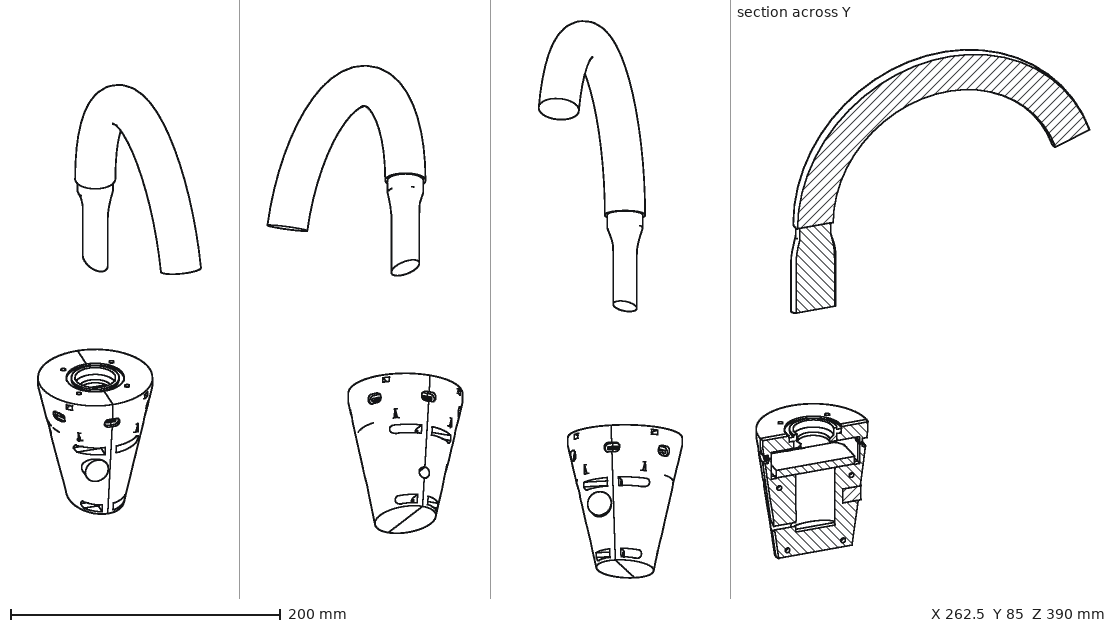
import cadquery as cq
import math

BASE_HEIGHT = 100.0
RIM_DIAMETER = 85.0
RIM_HEIGHT = 6.0
RIM_BOTTOM_Z = BASE_HEIGHT - RIM_HEIGHT
FOOT_LENGTH_X = 60.0
FOOT_LENGTH_Y = 41.5

CHAMBER_DIAMETER = 71.0
CHAMBER_FLOOR_Z = 66.7
CHAMBER_CEILING_Z = 88.5
BOARD_LENGTH_X = 63.0
BOARD_LENGTH_Y = 46.5
BOARD_THICKNESS = 6.5

VENT_COUNT = 6
VENT_WIDTH = 11.7
VENT_HEIGHT = 7.0
VENT_Z = 83.5
VENT_SLIT_WIDTH = 7.8
VENT_SLIT_HEIGHT = 2.5
VENT_STEP_RADIUS = 38.0
RIM_SCREW_COUNT = 4
RIM_SCREW_DIAMETER = 3.5
RIM_SCREW_RADIUS = 26.5
RIM_SLOT_WIDTH = 5.0
RIM_SLOT_HEIGHT = 3.5
RIM_SLOT_START = RIM_SCREW_RADIUS - RIM_SLOT_WIDTH / 2
CABLE_HOLE_DIAMETER = 8.0
CABLE_HOLE_Z = 25.8

CLAMP_ROWS = [(29.0, 58.0), (22.2, 5.5)]
CLAMP_HOLE_DIAMETER = 3.4
CLAMP_POCKET_HEIGHT = 6.2
CLAMP_NUT_SIDES = 6
CLAMP_NUT_CORNERS = CLAMP_POCKET_HEIGHT / math.cos(math.pi / CLAMP_NUT_SIDES)
CLAMP_WALL = 4.3

SPOUT_DIAMETER = 30.0
SPOUT_RADIUS = SPOUT_DIAMETER / 2
SPOUT_BEND_RADIUS = 105.7
SPOUT_SWEEP = 161.3
TOTAL_HEIGHT = 390.0
SPOUT_START_Z = TOTAL_HEIGHT - SPOUT_BEND_RADIUS - SPOUT_RADIUS
NECK_DIAMETER = 26.5
NECK_LENGTH = 9.8
TRANSITION_LENGTH = 20.0
OVAL_LENGTH_X = 35.5
OVAL_LENGTH_Y = 16.0
OVAL_HEIGHT = 39.8
TRANSITION_STEPS = 6

COLLAR_DIAMETER = 35.5
COLLAR_BORE_DIAMETER = 30.0
COLLAR_BORE_DEPTH = 6.0
COLLAR_CONE_HEIGHT = 2.7
COLLAR_THROAT_DIAMETER = 24.0
FLANGE_DIAMETER = 43.0
FLANGE_THICKNESS = 4.0
FLANGE_RECESS = 1.5
FLANGE_TOP_Z = BASE_HEIGHT - FLANGE_RECESS
FLANGE_BOTTOM_Z = FLANGE_TOP_Z - FLANGE_THICKNESS

SOCKET_FLOOR_Z = 19.5

PLUG_DIAMETER = 18.0
PLUG_Y = -10.5
PLUG_Z = 42.0
PLUG_START_X = 22.0
PLUG_END_X = 36.5


def cylinder(diameter, bottom_z, top_z):
    """Upright cylinder on the Z axis."""
    return cq.Workplane("XY").workplane(offset=bottom_z).circle(diameter / 2).extrude(top_z - bottom_z)


def neck_to_oval(top_z, bottom_z):
    """Transition from the round neck to the oval, running into the oval without a kink."""
    sections = cq.Workplane("XY").workplane(offset=top_z).ellipse(NECK_DIAMETER / 2, NECK_DIAMETER / 2)
    step = (bottom_z - top_z) / TRANSITION_STEPS
    for i in range(1, TRANSITION_STEPS + 1):
        share = math.sin(math.pi / 2 * i / TRANSITION_STEPS)
        half_x = (NECK_DIAMETER + share * (OVAL_LENGTH_X - NECK_DIAMETER)) / 2
        half_y = (NECK_DIAMETER + share * (OVAL_LENGTH_Y - NECK_DIAMETER)) / 2
        sections = sections.workplane(offset=step).ellipse(half_x, half_y)
    return sections.loft()


def make_spout():
    """Round bar bent along an arc in the XZ plane."""
    return (
        cq.Workplane("XY")
        .workplane(offset=SPOUT_START_Z)
        .circle(SPOUT_RADIUS)
        .revolve(SPOUT_SWEEP, (SPOUT_BEND_RADIUS, 0), (SPOUT_BEND_RADIUS, 1))
    )


def oval_shaft(bottom_z, top_z):
    """Upright oval prism, used for the adapter shaft and for the socket."""
    return (
        cq.Workplane("XY")
        .workplane(offset=bottom_z)
        .ellipse(OVAL_LENGTH_X / 2, OVAL_LENGTH_Y / 2)
        .extrude(top_z - bottom_z)
    )


def make_adapter():
    """Round neck below the spout that turns into an oval shaft."""
    neck_z = SPOUT_START_Z - NECK_LENGTH
    oval_z = neck_z - TRANSITION_LENGTH
    neck = cylinder(NECK_DIAMETER, neck_z, SPOUT_START_Z)
    shaft = oval_shaft(oval_z - OVAL_HEIGHT, oval_z)
    return neck.union(neck_to_oval(neck_z, oval_z)).union(shaft)


def make_collar():
    """Short sleeve with a flange below its top and a bore that narrows through a cone to its throat."""
    bore_z = BASE_HEIGHT - COLLAR_BORE_DEPTH
    cone = (
        cq.Workplane("XY")
        .workplane(offset=bore_z)
        .circle(COLLAR_BORE_DIAMETER / 2)
        .workplane(offset=-COLLAR_CONE_HEIGHT)
        .circle(COLLAR_THROAT_DIAMETER / 2)
        .loft()
    )
    return (
        cylinder(COLLAR_DIAMETER, CHAMBER_CEILING_Z, BASE_HEIGHT)
        .union(cylinder(FLANGE_DIAMETER, FLANGE_BOTTOM_Z, FLANGE_TOP_Z))
        .cut(cylinder(COLLAR_BORE_DIAMETER, bore_z, BASE_HEIGHT))
        .cut(cone)
        .cut(cylinder(COLLAR_THROAT_DIAMETER, CHAMBER_CEILING_Z, bore_z))
    )


def make_plug():
    """Round plug along X, set into the front half."""
    return (
        cq.Workplane("YZ", origin=(PLUG_START_X, PLUG_Y, PLUG_Z))
        .circle(PLUG_DIAMETER / 2)
        .extrude(PLUG_END_X - PLUG_START_X)
    )


def housing_body():
    """Cup that widens from an oval foot to a round rim."""
    cone = (
        cq.Workplane("XY")
        .ellipse(FOOT_LENGTH_X / 2, FOOT_LENGTH_Y / 2)
        .workplane(offset=RIM_BOTTOM_Z)
        .circle(RIM_DIAMETER / 2)
        .loft(ruled=True)
    )
    return cone.union(cylinder(RIM_DIAMETER, RIM_BOTTOM_Z, BASE_HEIGHT))


def chamber():
    """Round space below the top plate."""
    return cylinder(CHAMBER_DIAMETER, CHAMBER_FLOOR_Z, CHAMBER_CEILING_Z)


def make_board():
    """Board on the chamber floor; its corners reach through the housing wall."""
    return (
        cq.Workplane("XY")
        .workplane(offset=CHAMBER_FLOOR_Z)
        .rect(BOARD_LENGTH_X, BOARD_LENGTH_Y)
        .extrude(BOARD_THICKNESS)
    )


def vents():
    """Radial slits into the chamber, each in a larger stadium recess of the outer wall."""
    slit = (
        cq.Workplane("YZ", origin=(0, 0, VENT_Z))
        .slot2D(VENT_SLIT_WIDTH, VENT_SLIT_HEIGHT)
        .extrude(VENT_STEP_RADIUS)
    )
    recess = (
        cq.Workplane("YZ", origin=(VENT_STEP_RADIUS, 0, VENT_Z))
        .slot2D(VENT_WIDTH, VENT_HEIGHT)
        .extrude(RIM_DIAMETER / 2 - VENT_STEP_RADIUS)
    )
    vent = slit.union(recess)
    return [vent.rotate((0, 0, 0), (0, 0, 1), i * 360 / VENT_COUNT) for i in range(VENT_COUNT)]


def rim_fastenings():
    """Vertical screw holes on the diagonals, each with a nut slot from the rim."""
    cutters = []
    slot_length = RIM_DIAMETER / 2 - RIM_SLOT_START
    for i in range(RIM_SCREW_COUNT):
        angle = (i + 0.5) * 360 / RIM_SCREW_COUNT
        hole = cylinder(RIM_SCREW_DIAMETER, CHAMBER_CEILING_Z, BASE_HEIGHT).translate((RIM_SCREW_RADIUS, 0, 0))
        slot = cq.Workplane("XY").box(
            slot_length, RIM_SLOT_WIDTH, RIM_SLOT_HEIGHT, centered=(False, True, False)
        )
        slot = slot.translate((RIM_SLOT_START, 0, RIM_BOTTOM_Z))
        cutters.append(hole.union(slot).rotate((0, 0, 0), (0, 0, 1), angle))
    return cutters


def clamp_cutter(side, x, z):
    """Screw hole at (x, z) and its pocket: hexagonal on the -Y side, round on the +Y side."""
    outward = math.copysign(1, x)
    reach = RIM_DIAMETER / 2
    plane = cq.Plane(origin=(x, side * CLAMP_WALL, z), xDir=(outward, 0, 0), normal=(0, side, 0))
    seat = cq.Workplane(plane)
    if side < 0:
        end = seat.polygon(CLAMP_NUT_SIDES, CLAMP_NUT_CORNERS).extrude(reach)
    else:
        end = seat.circle(CLAMP_POCKET_HEIGHT / 2).extrude(reach)
    opening = seat.center(reach / 2, 0).rect(reach, CLAMP_POCKET_HEIGHT).extrude(reach)
    hole_plane = cq.Plane(origin=(x, 0, z), xDir=(1, 0, 0), normal=(0, side, 0))
    hole = cq.Workplane(hole_plane).circle(CLAMP_HOLE_DIAMETER / 2).extrude(CLAMP_WALL)
    return end.union(opening).union(hole)


def cable_hole():
    """Hole along X from the -X side to the socket."""
    return (
        cq.Workplane("YZ", origin=(0, 0, CABLE_HOLE_Z))
        .circle(CABLE_HOLE_DIAMETER / 2)
        .extrude(-RIM_DIAMETER / 2)
    )


def hollow_housing():
    """Housing with every opening that both halves share."""
    cutters = [
        chamber(),
        oval_shaft(SOCKET_FLOOR_Z, CHAMBER_FLOOR_Z),
        cylinder(COLLAR_DIAMETER, CHAMBER_CEILING_Z, BASE_HEIGHT),
        cylinder(FLANGE_DIAMETER, FLANGE_BOTTOM_Z, BASE_HEIGHT),
        cable_hole(),
        make_plug(),
        make_board(),
        *vents(),
        *rim_fastenings(),
    ]
    housing = housing_body()
    for cutter in cutters:
        housing = housing.cut(cutter)
    return housing


def make_half(housing, side):
    """Half of the housing on one side of Y = 0 (side is -1 or +1), with its clamp pockets."""
    half_space = (
        cq.Workplane("XY")
        .center(0, side * RIM_DIAMETER / 2)
        .rect(2 * RIM_DIAMETER, RIM_DIAMETER)
        .extrude(BASE_HEIGHT)
    )
    half = housing.intersect(half_space)
    for distance, z in CLAMP_ROWS:
        for x in (-distance, distance):
            half = half.cut(clamp_cutter(side, x, z))
    return half


spout = make_spout()
adapter = make_adapter()
collar = make_collar()
board = make_board()
plug = make_plug()
housing = hollow_housing()
front_half = make_half(housing, -1)
back_half = make_half(housing, 1)

bodies = [spout, adapter, collar, board, plug, front_half, back_half]
result = cq.Compound.makeCompound([body.solids().val() for body in bodies])